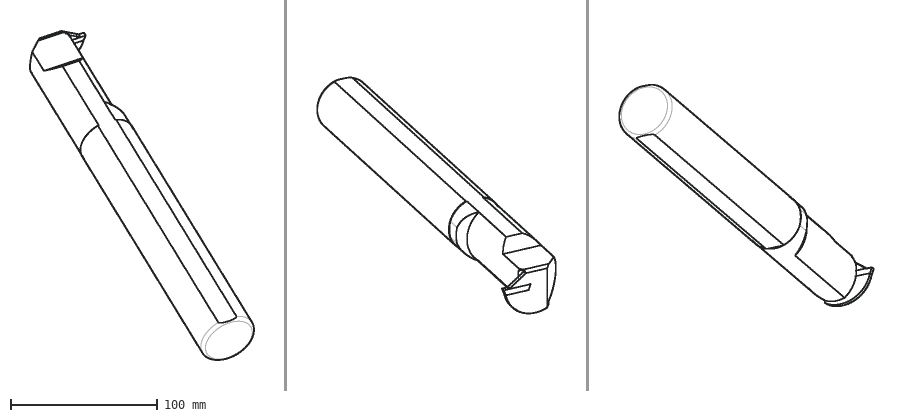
import cadquery as cq

length = 300.0
shank_radius = 20.0
flat_height = 18.8
neck_radius = 19.8
neck_end = 97.8
tail_round = 2.5

relief_center_y = -8.7
relief_radius = 24.0
relief_end = 79.5
runout_length = 8.0
runout_growth = 4.2

head_top = 10.8
ramp_start = 30.0
corner_y = -6.0

blade_thickness = 3.0
blade_center_y = 3.0
blade_radius = 22.9
blade_top = 9.3
slope_top_y = 10.2
slope_foot_y = 23.0
slope_runout = 1.8

insert_tip_y = 27.1
insert_inner_y = 6.5
insert_height = 4.2
insert_taper = 1.5

cut_margin = 3.0


def rod(start, end, radius, center_y=0.0):
    """Cylinder parallel to X."""
    return cq.Workplane("YZ", origin=(start, center_y, 0)).circle(radius).extrude(end - start)


def make_shank():
    shank = rod(neck_end, length, shank_radius)
    shank = shank.faces(">X").edges().fillet(tail_round)
    return shank.faces("<X").chamfer(shank_radius - neck_radius)


def make_neck():
    """Front rod, kept inside the flank relief and its conical runout."""
    neck = rod(0, neck_end, neck_radius)
    runout_end = relief_end + runout_length
    full_radius = relief_radius + runout_growth
    envelope = (
        cq.Workplane("XY", origin=(0, relief_center_y, 0))
        .moveTo(0, 0)
        .lineTo(0, relief_radius)
        .lineTo(relief_end, relief_radius)
        .lineTo(runout_end, full_radius)
        .lineTo(neck_end, full_radius)
        .lineTo(neck_end, 0)
        .close()
        .revolve(360, (0, 0, 0), (1, 0, 0))
    )
    flank = cq.Workplane("XY").box(neck_end, shank_radius, 2 * shank_radius, centered=(False, False, True))
    return neck.cut(flank.cut(envelope))


def make_blade():
    return rod(0, blade_thickness, blade_radius, blade_center_y)


def make_insert_clearance():
    """Space above the slope down to the insert, with a 45 degree runout behind the blade."""
    reach = blade_center_y + blade_radius + cut_margin
    outline = [
        (slope_top_y, blade_top),
        (slope_foot_y, 0),
        (reach, 0),
        (reach, reach),
        (slope_top_y, reach),
    ]
    front = cq.Workplane("YZ").polyline(outline).close().extrude(blade_thickness)
    runout = (
        cq.Workplane("YZ", origin=(blade_thickness, 0, 0))
        .polyline(outline)
        .close()
        .extrude(slope_runout, taper=45)
    )
    return front.union(runout)


def make_top_clearance():
    """Space above the blade bevel, the head flat, the 45 degree ramp and the upper shank flat."""
    above = blade_radius + cut_margin
    width = 2 * (blade_radius + blade_center_y + cut_margin)
    return (
        cq.Workplane("XZ")
        .polyline([
            (0, blade_top),
            (blade_thickness, head_top),
            (ramp_start, head_top),
            (ramp_start + flat_height - head_top, flat_height),
            (length, flat_height),
            (length, above),
            (0, above),
        ])
        .close()
        .extrude(width / 2, both=True)
    )


def make_bottom_flat():
    """Space below the lower flat, along the shank only."""
    return (
        cq.Workplane("XY", origin=(neck_end, 0, -flat_height))
        .box(length - neck_end, 2 * shank_radius, shank_radius, centered=(False, True, False))
        .translate((0, 0, -shank_radius))
    )


def make_corner_cut():
    reach = blade_radius + cut_margin
    return (
        cq.Workplane("XY")
        .polyline([(0, corner_y), (reach, corner_y - reach), (0, corner_y - reach)])
        .close()
        .extrude(reach, both=True)
    )


def make_insert():
    """Tapered bar with its flat top on the axis height."""
    return (
        cq.Workplane("YZ")
        .polyline([
            (insert_tip_y, 0),
            (insert_tip_y - insert_taper, -insert_height),
            (insert_inner_y + insert_taper, -insert_height),
            (insert_inner_y, 0),
        ])
        .close()
        .extrude(blade_thickness)
    )


insert = make_insert()
holder = make_neck().union(make_shank()).union(make_blade())
holder = holder.cut(make_top_clearance()).cut(make_bottom_flat()).cut(make_corner_cut())
holder = holder.cut(make_insert_clearance()).cut(insert)

result = cq.Compound.makeCompound([holder.solids().val(), insert.val()])